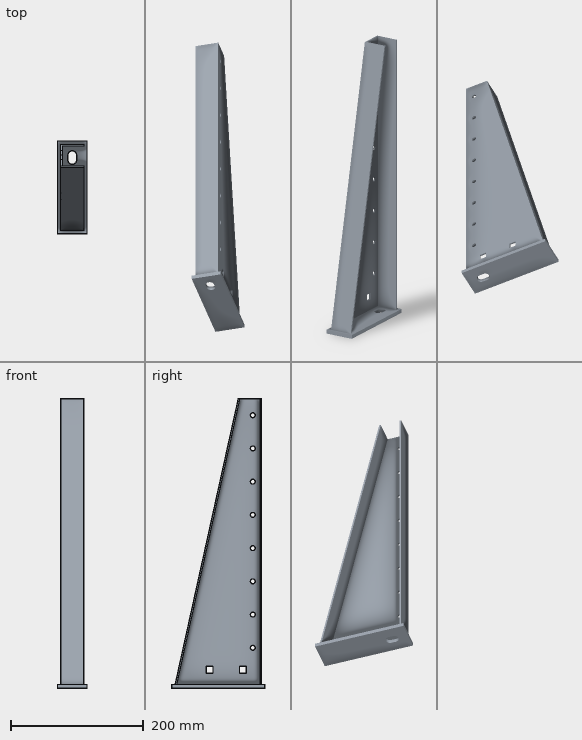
import cadquery as cq

plate_width = 45.0
plate_length = 140.0
plate_thickness = 6.0
total_height = 436.0

plate_margin = 5.0
wall = 2.5
channel_width = plate_width - 2 * plate_margin
channel_foot_depth = plate_length - 2 * plate_margin
channel_top_depth = 35.0
channel_height = total_height - plate_thickness
web_x = -channel_width / 2
back_y = channel_foot_depth / 2

round_hole_diameter = 7.0
round_hole_count = 8
round_hole_pitch = 50.0
round_hole_from_top = 25.0
round_hole_from_back = 13.0

square_hole_size = 10.0
square_hole_pitch = 50.0
square_hole_from_back = 28.0
square_hole_above_plate = 22.0

slot_width = 13.0
slot_length = 20.0
slot_y = 45.0


def make_base_plate():
    plate = cq.Workplane("XY").box(
        plate_width, plate_length, plate_thickness, centered=(True, True, False)
    )
    slot = (
        cq.Workplane("XY")
        .center(0, slot_y)
        .slot2D(slot_length, slot_width, 90)
        .extrude(plate_thickness)
    )
    return plate.cut(slot)


def make_channel():
    side_profile = (
        cq.Workplane("YZ", origin=(web_x, 0, plate_thickness))
        .moveTo(back_y, 0)
        .lineTo(back_y, channel_height)
        .lineTo(back_y - channel_top_depth, channel_height)
        .lineTo(-back_y, 0)
        .close()
    )
    return side_profile.extrude(channel_width).faces(">Z or <Z or >X").shell(-wall)


def web_sketch_plane():
    return cq.Workplane("YZ", origin=(web_x, 0, 0))


def make_round_holes():
    hole_y = back_y - round_hole_from_back
    top_hole_z = total_height - round_hole_from_top
    centres = [(hole_y, top_hole_z - i * round_hole_pitch) for i in range(round_hole_count)]
    return web_sketch_plane().pushPoints(centres).circle(round_hole_diameter / 2).extrude(wall)


def make_square_holes():
    first_y = back_y - square_hole_from_back
    hole_z = plate_thickness + square_hole_above_plate
    centres = [(first_y, hole_z), (first_y - square_hole_pitch, hole_z)]
    return web_sketch_plane().pushPoints(centres).rect(square_hole_size, square_hole_size).extrude(wall)


channel = make_channel().cut(make_round_holes()).cut(make_square_holes())
result = make_base_plate().union(channel)